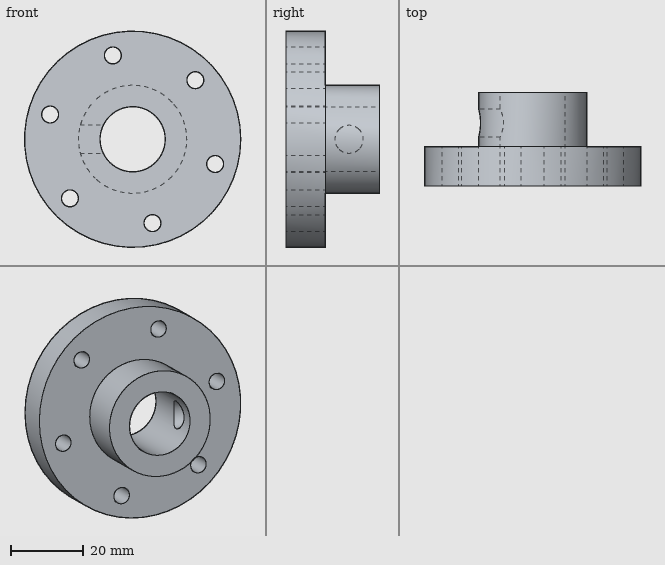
import cadquery as cq

flange_diameter = 60.0
flange_thickness = 11.0
hub_diameter = flange_diameter / 2
hub_length = 15.0
bore_diameter = 18.0
total_length = flange_thickness + hub_length

bolt_count = 6
bolt_hole_diameter = 4.6
bolt_circle_radius = 23.9
first_bolt_angle = 43.3

radial_hole_diameter = 7.8
radial_hole_from_hub_end = 8.45


def cylinder_along_y(diameter, length):
    """Cylinder on the Y axis, starting at the flange face and running toward +Y."""
    return cq.Workplane("XZ").circle(diameter / 2).extrude(-length)


def bolt_holes():
    return (
        cq.Workplane("XZ")
        .polarArray(bolt_circle_radius, first_bolt_angle, 360, bolt_count)
        .circle(bolt_hole_diameter / 2)
        .extrude(-flange_thickness)
    )


def radial_hole():
    """Cylinder from the bore axis out past the -X side of the hub."""
    return (
        cq.Workplane("YZ")
        .center(total_length - radial_hole_from_hub_end, 0)
        .circle(radial_hole_diameter / 2)
        .extrude(-hub_diameter)
    )


flange = cylinder_along_y(flange_diameter, flange_thickness)
hub = cylinder_along_y(hub_diameter, total_length)
bore = cylinder_along_y(bore_diameter, total_length)

result = flange.union(hub).cut(bore).cut(bolt_holes()).cut(radial_hole())